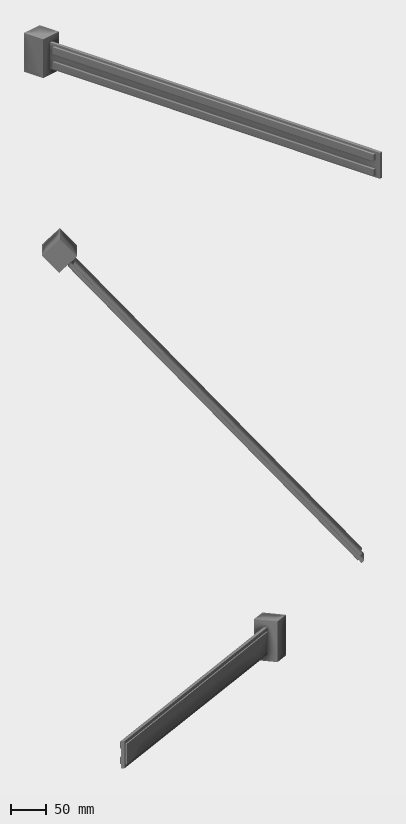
import cadquery as cq

total_length = 635.0
head_size = 35.0
head_height = 60.0

blade_length = total_length - head_size
blade_thickness = 5.0
blade_height = 40.0

rib_end_gap = 8.0
rib_length = blade_length - 2 * rib_end_gap
rib_thickness = 4.0
rib_height = 10.0
rib_spacing = 23.0

sheet_end_gap = 5.0
sheet_length = blade_length - 2 * sheet_end_gap
sheet_thickness = 2.05
sheet_height = blade_height - 2 * sheet_end_gap


def bar(start_x, front_y, center_z, length, thickness, height):
    """Box starting at start_x and front_y, centred in Z on center_z."""
    return cq.Workplane("XY").box(
        length, thickness, height, centered=(False, False, True)
    ).translate((start_x, front_y, center_z))


front_face = -blade_thickness / 2
back_face = blade_thickness / 2

head = bar(0, -head_size / 2, 0, head_size, head_size, head_height)
blade = bar(head_size, front_face, 0, blade_length, blade_thickness, blade_height)
sheet = bar(head_size + sheet_end_gap, back_face, 0, sheet_length, sheet_thickness, sheet_height)

result = head.union(blade).union(sheet)
for rib_z in (-rib_spacing / 2, rib_spacing / 2):
    rib = bar(
        head_size + rib_end_gap, front_face - rib_thickness, rib_z,
        rib_length, rib_thickness, rib_height,
    )
    result = result.union(rib)